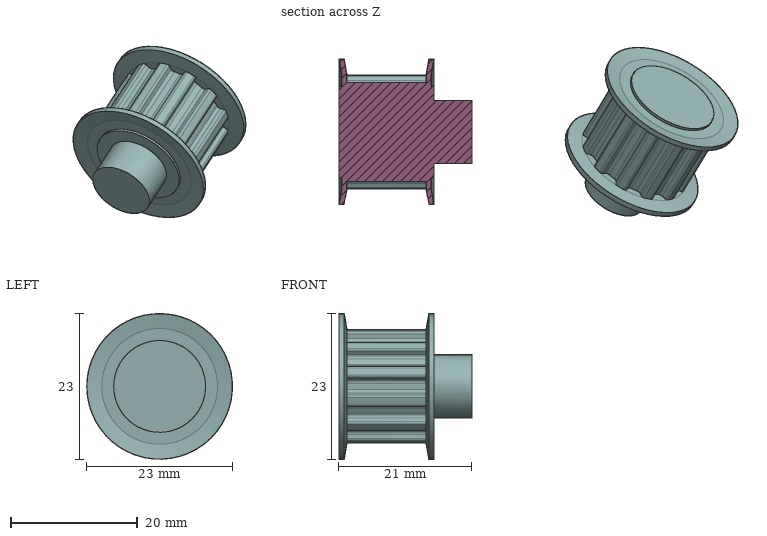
import cadquery as cq
import math

total_length = 21.0
pulley_width = 15.0
hub_diameter = 10.0

flange_diameter = 23.0
rim_width = 0.83
dish_depth = 0.41
end_boss_diameter = 14.5
flange_depth = rim_width + dish_depth

tooth_count = 12
tip_diameter = 18.26
root_diameter = 15.65
groove_root_width = 1.85
flank_angle = 25.0
tip_round = 0.4
root_round = 0.6

tip_radius = tip_diameter / 2
root_radius = root_diameter / 2
tooth_pitch_angle = 360.0 / tooth_count
drum_width = pulley_width - 2 * flange_depth


def cylinder(diameter, start, length):
    """Solid cylinder along X, from X = start."""
    return cq.Workplane("YZ", origin=(start, 0, 0)).circle(diameter / 2).extrude(length)


def groove_cutter():
    """Trapezoidal prism on the +Y side, with flanks opening outward."""
    overlap = 0.45
    inner_y = root_radius - overlap
    outer_y = tip_radius + overlap
    slope = math.tan(math.radians(flank_angle))
    inner_half = groove_root_width / 2 + (inner_y - root_radius) * slope
    outer_half = groove_root_width / 2 + (outer_y - root_radius) * slope
    outline = [
        (inner_y, -inner_half),
        (outer_y, -outer_half),
        (outer_y, outer_half),
        (inner_y, inner_half),
    ]
    return cq.Workplane("YZ", origin=(flange_depth, 0, 0)).polyline(outline).close().extrude(drum_width)


def round_corners(body, corner_radius, round_radius):
    """Round the lengthwise edges that lie at corner_radius from the axis."""
    tolerance = 0.002

    def is_corner(edge):
        middle = edge.Center()
        return abs(math.hypot(middle.y, middle.z) - corner_radius) < tolerance

    corners = body.edges("|X").filter(is_corner)
    return body.newObject(corners.vals()).fillet(round_radius)


def toothed_drum():
    """Drum with a groove centred on +Y and on every pitch from there."""
    drum = cylinder(tip_diameter, flange_depth, drum_width)
    cutter = groove_cutter()
    for index in range(tooth_count):
        drum = drum.cut(cutter.rotate((0, 0, 0), (1, 0, 0), index * tooth_pitch_angle))

    core = cylinder(root_diameter, flange_depth, drum_width)
    drum = drum.union(core.rotate((0, 0, 0), (1, 0, 0), tooth_pitch_angle / 2))

    drum = round_corners(drum, root_radius, root_round)
    return round_corners(drum, tip_radius, tip_round)


def closed_end_flange():
    """Dished flange at X = 0 with a flat boss level with its rim."""
    rim_radius = flange_diameter / 2
    boss_radius = end_boss_diameter / 2
    half_section = [
        (0, 0),
        (0, boss_radius),
        (dish_depth, boss_radius),
        (dish_depth, tip_radius),
        (0, rim_radius),
        (rim_width, rim_radius),
        (flange_depth, tip_radius),
        (flange_depth, 0),
    ]
    return cq.Workplane("XY").polyline(half_section).close().revolve(360, (0, 0, 0), (1, 0, 0))


near_flange = closed_end_flange()
far_flange = near_flange.mirror("YZ").translate((pulley_width, 0, 0))
hub = cylinder(hub_diameter, pulley_width, total_length - pulley_width)

result = toothed_drum().union(near_flange).union(far_flange).union(hub)